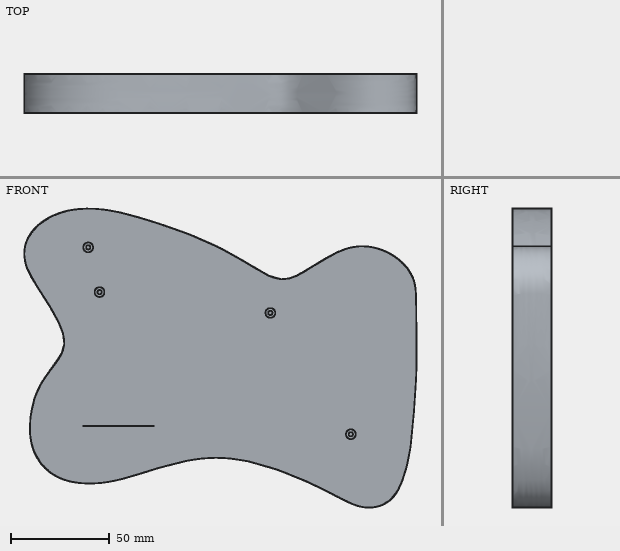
import cadquery as cq

thickness = 20.0
front_y = -thickness / 2

outline_points = [
    (-100.0, 52.5),
    (-98.0, 61.5),
    (-86.2, 72.2),
    (-68.0, 76.2),
    (-36.0, 70.0),
    (0.5, 55.8),
    (18.5, 45.5),
    (30.8, 40.2),
    (47.2, 46.8),
    (70.8, 57.0),
    (90.6, 50.5),
    (98.5, 40.0),
    (99.6, 25.2),
    (100.0, 7.2),
    (98.5, -30.0),
    (92.8, -62.0),
    (86.2, -72.6),
    (77.0, -76.2),
    (58.2, -70.0),
    (29.2, -57.0),
    (-1.0, -50.8),
    (-32.2, -56.2),
    (-66.0, -64.0),
    (-86.5, -58.6),
    (-95.2, -47.2),
    (-96.8, -30.0),
    (-90.2, -11.0),
    (-79.6, 7.2),
    (-82.5, 18.0),
    (-93.2, 36.0),
    (-98.8, 46.5),
]

ferrule_diameter = 5.0
core_diameter = 2.2
ferrule_depth = 10.0
ferrule_centres = [(-67.5, 56.5), (-61.6, 33.6), (25.5, 23.0), (66.5, -38.8)]

slit_left = -70.0
slit_length = 36.0
slit_width = 0.1
slit_depth = 10.0
slit_z = -34.6


def front_cylinder(centre, diameter, depth):
    """Cylinder that runs from the front face into the board."""
    x, z = centre
    base = cq.Vector(x, front_y, z)
    return cq.Workplane(cq.Solid.makeCylinder(diameter / 2, depth, base, cq.Vector(0, 1, 0)))


def make_slit():
    slit = cq.Workplane().box(slit_length, slit_depth, slit_width, centered=(False, False, True))
    return slit.translate((slit_left, front_y, slit_z))


def make_ferrule(centre):
    ferrule = front_cylinder(centre, ferrule_diameter, ferrule_depth)
    return ferrule.cut(front_cylinder(centre, core_diameter, ferrule_depth))


def make_board():
    board = cq.Workplane("XZ", origin=(0, -front_y, 0)).spline(outline_points, periodic=True).close()
    board = board.extrude(thickness)
    for centre in ferrule_centres:
        board = board.cut(make_ferrule(centre))
    return board.cut(make_slit())


board = make_board()
ferrules = [make_ferrule(centre) for centre in ferrule_centres]

result = cq.Compound.makeCompound([board.val(), *[ferrule.val() for ferrule in ferrules]])